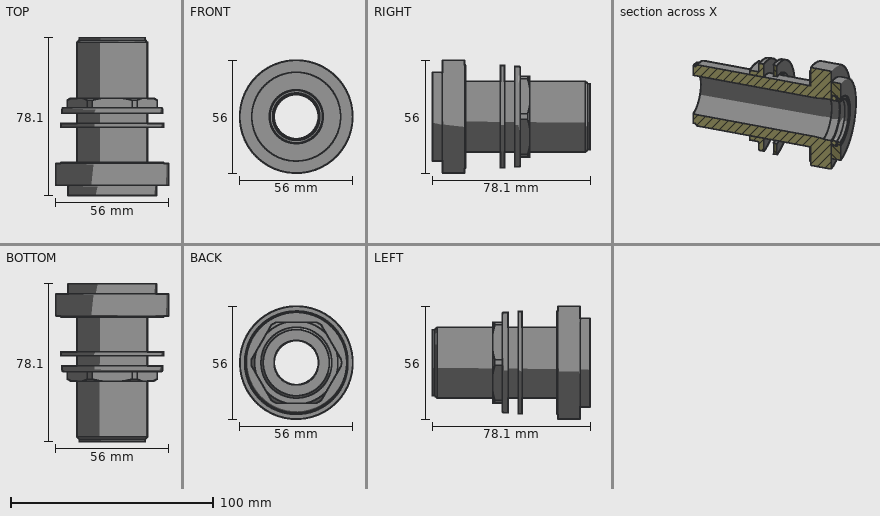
import cadquery as cq
import math


total_length = 78.1
tube_radius = 17.55
tip_radius = 16.35
tip_length = 1.15
tip_chamfer = tube_radius - tip_radius
flange_radius = 28.0
flange_thickness = 11.0
edge_round = 0.5

seat_radius = 11.5
step_position = 9.1
cone_front_radius = 11.35
bore_radius = 10.9
cone_end = 13.35

cap_radius = 22.0
cap_thickness = 5.0
cap_pocket_radius = 13.35
pocket_chamfer = 0.35

retainer_length = 2.15
retainer_radius = cap_pocket_radius - pocket_chamfer
retainer_inner_chamfer = 0.25

seal_section_radius = (cap_thickness - retainer_length) / 2
seal_crest_radius = 11.25
seal_centre_radius = seal_crest_radius + seal_section_radius
seal_centre_position = retainer_length + seal_section_radius
seal_groove_radius = seal_centre_radius + seal_section_radius

gasket_radius = 25.6
gasket_thickness = 0.5
gasket_chamfer = 0.3

washer_radius = 25.4
washer_hole_radius = 19.0
washer_thickness = 2.0
washer_position = 33.7

nut_position = 40.65
nut_flange_radius = 24.9
nut_flange_thickness = 2.9
nut_flange_round = 1.0
nut_height = 7.5
across_flats = 40.0
hex_corner_radius = 22.35
hex_chamfer_height = 1.0
hex_chamfer_angle = 30.0
corner_turn = 30.0

flange_front = cap_thickness
flange_rear = flange_front + flange_thickness


def tube(outer_radius, inner_radius, start, length):
    """Plain ring along +Y, from the axial position start."""
    ring = cq.Workplane("XZ", origin=(0, start, 0)).circle(outer_radius).circle(inner_radius)
    return ring.extrude(-length)


def revolve_profile(points):
    """Solid of revolution about Y from (radius, axial position) points."""
    return cq.Workplane("XY").polyline(points).close().revolve(360, (0, 0, 0), (0, 1, 0))


def make_housing():
    """Flange and threaded tube in one piece, with a stepped and tapered bore."""
    tip_start = total_length - tip_length
    housing = revolve_profile([
        (seat_radius, flange_front),
        (flange_radius, flange_front),
        (flange_radius, flange_rear),
        (tube_radius, flange_rear),
        (tube_radius, tip_start - tip_chamfer),
        (tip_radius, tip_start),
        (tip_radius, total_length),
        (bore_radius, total_length),
        (bore_radius, cone_end),
        (cone_front_radius, step_position),
        (seat_radius, step_position),
    ])
    return housing.edges(cq.selectors.RadiusNthSelector(-1)).fillet(edge_round)


def make_cap():
    """Front disc with a retainer pocket and a wider seal groove open to the housing."""
    cap = revolve_profile([
        (retainer_radius + pocket_chamfer, 0),
        (cap_radius, 0),
        (cap_radius, cap_thickness),
        (seal_groove_radius, cap_thickness),
        (seal_groove_radius, retainer_length),
        (retainer_radius, retainer_length),
        (retainer_radius, pocket_chamfer),
    ])
    return cap.edges(cq.selectors.RadiusNthSelector(-1)).fillet(edge_round)


def make_retainer():
    """Thin ring, flush with the cap face, that holds the seal in its groove."""
    retainer = tube(retainer_radius, seat_radius, 0, retainer_length)
    front_edges = retainer.faces("<Y").edges(cq.selectors.RadiusNthSelector(0))
    return front_edges.chamfer(retainer_inner_chamfer)


def make_seal():
    """O-ring standing slightly proud of the bore."""
    section = cq.Workplane("XY").center(seal_centre_radius, seal_centre_position)
    axis_start = (-seal_centre_radius, 0, 0)
    axis_end = (-seal_centre_radius, 1, 0)
    return section.circle(seal_section_radius).revolve(360, axis_start, axis_end)


def make_gasket():
    """Thin sealing ring lying on the rear face of the flange."""
    gasket = tube(gasket_radius, tube_radius, flange_rear, gasket_thickness)
    rear_edge = gasket.faces(">Y").edges(cq.selectors.RadiusNthSelector(-1))
    return rear_edge.chamfer(gasket_chamfer)


def make_washer():
    """Flat washer, loose on the tube between the gasket and the nut."""
    return tube(washer_radius, washer_hole_radius, washer_position, washer_thickness)


def make_nut():
    """Hexagon with flats facing +Z and -Z, trimmed corners and an integral round flange."""
    nut_rear = nut_position + nut_height
    chamfer_depth = hex_chamfer_height / math.tan(math.radians(hex_chamfer_angle))
    hexagon = cq.Workplane("XZ", origin=(0, nut_position, 0))
    hexagon = hexagon.polygon(6, across_flats, circumscribed=True).extrude(-nut_height)
    hexagon = hexagon.rotate((0, 0, 0), (0, 1, 0), corner_turn)
    corner_trim = revolve_profile([
        (0, nut_position),
        (hex_corner_radius, nut_position),
        (hex_corner_radius, nut_rear - hex_chamfer_height),
        (hex_corner_radius - chamfer_depth, nut_rear),
        (0, nut_rear),
    ])
    flange = cq.Workplane("XZ", origin=(0, nut_position, 0))
    flange = flange.circle(nut_flange_radius).extrude(-nut_flange_thickness)
    flange = flange.faces(">Y").edges().fillet(nut_flange_round)
    thread_hole = cq.Workplane("XZ", origin=(0, nut_position, 0)).circle(tube_radius).extrude(-nut_height)
    return hexagon.intersect(corner_trim).union(flange).cut(thread_hole)


housing = make_housing()
cap = make_cap()
retainer = make_retainer()
seal = make_seal()
gasket = make_gasket()
washer = make_washer()
nut = make_nut()

result = cq.Compound.makeCompound([
    housing.val(),
    cap.val(),
    retainer.val(),
    seal.val(),
    gasket.val(),
    washer.val(),
    nut.val(),
])